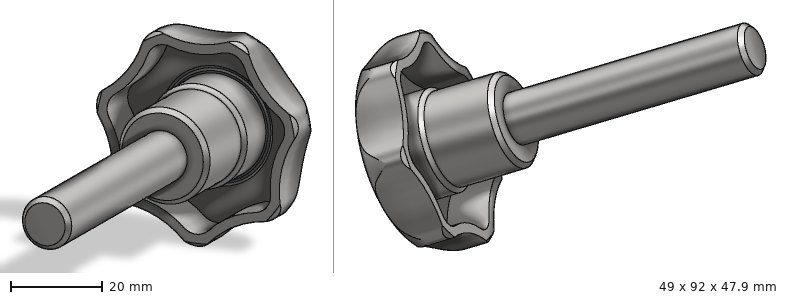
import cadquery as cq
import math

total_length = 92.0
knob_height = 15.0
knob_diameter = 50.0
hub_end = 17.0
hub_diameter = 22.0
hub_chamfer = 1.1
stud_diameter = 12.0
stud_chamfer = 1.1

dome_radius = 71.8
shoulder_radius = 8.0
rim_chamfer = 0.9

lobe_count = 7
valley_radius = 21.3
lobe_round = 4.1

cavity_depth = 10.5
cavity_tip_radius = 22.0
cavity_valley_radius = 19.0
cavity_lobe_round = 4.3
hub_base_diameter = 24.0

groove_inner_diameter = 25.0
groove_outer_diameter = 27.3
groove_depth = 0.3

knob_radius = knob_diameter / 2
stud_length = total_length - knob_height - hub_end
half_pitch = math.pi / lobe_count


def polar(radius, angle):
    return (radius * math.cos(angle), radius * math.sin(angle))


def lobed_prism(tip_radius, valley, tip_round, height):
    """Prism from the rim toward +Y, with round lobes tangent to concave scallops."""
    lobe_center = tip_radius - tip_round
    across = lobe_center * math.sin(half_pitch)
    inset = valley - lobe_center * math.cos(half_pitch)
    scallop_radius = (across**2 + inset**2 - tip_round**2) / (2 * (tip_round - inset))
    scallop_center = valley + scallop_radius

    share = scallop_radius / (scallop_radius + tip_round)
    tangent_across = across * share
    tangent_out = scallop_center - (scallop_radius + inset) * share
    tangent_radius = math.hypot(tangent_across, tangent_out)
    scallop_half_angle = math.atan2(tangent_across, tangent_out)
    lobe_half_angle = half_pitch - scallop_half_angle

    first_lobe = -math.pi / 2
    outline = cq.Workplane("XZ").moveTo(*polar(tangent_radius, first_lobe - lobe_half_angle))
    for index in range(lobe_count):
        lobe = first_lobe + 2 * index * half_pitch
        scallop = lobe + half_pitch
        outline = outline.threePointArc(
            polar(tip_radius, lobe), polar(tangent_radius, lobe + lobe_half_angle)
        )
        outline = outline.threePointArc(
            polar(valley, scallop), polar(tangent_radius, scallop + scallop_half_angle)
        )
    return outline.close().extrude(-height)


def revolve_about_y(profile):
    return profile.close().revolve(360, (0, 0, 0), (0, 1, 0))


def domed_blank():
    """Shallow spherical dome blending through a round shoulder into a cylinder."""
    dome_center = knob_height - dome_radius
    shoulder_x = knob_radius - shoulder_radius
    center_distance = dome_radius - shoulder_radius
    shoulder_y = dome_center + math.sqrt(center_distance**2 - shoulder_x**2)
    join_angle = math.acos(shoulder_x / center_distance)

    def on_dome(angle):
        x, y = polar(dome_radius, angle)
        return (x, dome_center + y)

    shoulder_mid = polar(shoulder_radius, join_angle / 2)
    profile = (
        cq.Workplane("XY")
        .lineTo(knob_radius - rim_chamfer, 0)
        .lineTo(knob_radius, rim_chamfer)
        .lineTo(knob_radius, shoulder_y)
        .threePointArc(
            (shoulder_x + shoulder_mid[0], shoulder_y + shoulder_mid[1]), on_dome(join_angle)
        )
        .threePointArc(on_dome((join_angle + math.pi / 2) / 2), (0, knob_height))
    )
    return revolve_about_y(profile)


def hub():
    """Chamfered hub, widened by a short cone just inside the rim."""
    radius = hub_diameter / 2
    base_radius = hub_base_diameter / 2
    profile = (
        cq.Workplane("XY")
        .moveTo(0, -hub_end)
        .lineTo(radius - hub_chamfer, -hub_end)
        .lineTo(radius, -hub_end + hub_chamfer)
        .lineTo(radius, 0)
        .lineTo(base_radius, base_radius - radius)
        .lineTo(base_radius, cavity_depth)
        .lineTo(0, cavity_depth)
    )
    return revolve_about_y(profile)


def floor_groove():
    inner_radius = groove_inner_diameter / 2
    outer_radius = groove_outer_diameter / 2
    profile = (
        cq.Workplane("XY")
        .moveTo(inner_radius, cavity_depth)
        .lineTo((inner_radius + outer_radius) / 2, cavity_depth + groove_depth)
        .lineTo(outer_radius, cavity_depth)
    )
    return revolve_about_y(profile)


def stud():
    return (
        cq.Workplane("XZ", origin=(0, -hub_end, 0))
        .circle(stud_diameter / 2)
        .extrude(stud_length)
        .faces("<Y")
        .chamfer(stud_chamfer)
    )


knob = domed_blank().intersect(lobed_prism(knob_radius, valley_radius, lobe_round, knob_height))
cavity = lobed_prism(cavity_tip_radius, cavity_valley_radius, cavity_lobe_round, cavity_depth)

result = knob.cut(cavity).cut(floor_groove()).union(hub()).union(stud())